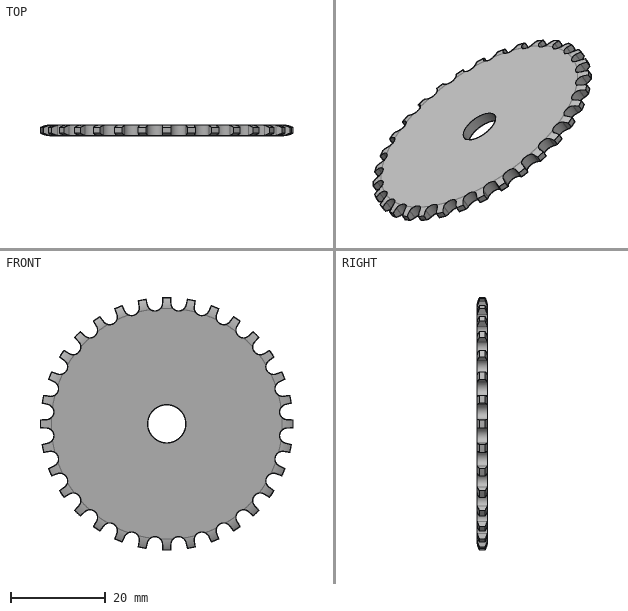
import cadquery as cq
import math

tooth_count = 32
chain_pitch = 5.0
roller_diameter = 3.2
tip_diameter = 53.2
plate_width = 2.3
bore_diameter = 8.0
gap_wall_angle = 8.0
flank_side_radius = 5.0
flank_side_depth = 2.3

tooth_angle = 360.0 / tooth_count
tip_radius = tip_diameter / 2
bore_radius = bore_diameter / 2
roller_radius = roller_diameter / 2
pitch_radius = chain_pitch / 2 / math.sin(math.radians(tooth_angle / 2))
half_width = plate_width / 2
cut_margin = 1.0


def make_blank():
    """Revolved disc with a bore and a rim rounded towards the tips on both sides."""
    shoulder_radius = tip_radius - flank_side_depth

    def side_drop(depth):
        return flank_side_radius - math.sqrt(flank_side_radius**2 - depth**2)

    middle_radius = shoulder_radius + flank_side_depth / 2
    middle_half_width = half_width - side_drop(flank_side_depth / 2)
    tip_half_width = half_width - side_drop(flank_side_depth)
    return (
        cq.Workplane("YZ")
        .moveTo(-half_width, bore_radius)
        .lineTo(-half_width, shoulder_radius)
        .threePointArc((-middle_half_width, middle_radius), (-tip_half_width, tip_radius))
        .lineTo(tip_half_width, tip_radius)
        .threePointArc((middle_half_width, middle_radius), (half_width, shoulder_radius))
        .lineTo(half_width, bore_radius)
        .close()
        .revolve(360, (0, 0, 0), (1, 0, 0))
    )


def make_gap_cutter():
    """Round roller seat that runs tangentially into two straight, outward-leaning walls."""
    wall_angle = math.radians(gap_wall_angle)
    wall_x = roller_radius * math.cos(wall_angle)
    wall_z = pitch_radius - roller_radius * math.sin(wall_angle)
    outer_z = tip_radius + cut_margin
    outer_x = wall_x + (outer_z - wall_z) * math.tan(wall_angle)
    return (
        cq.Workplane("XZ")
        .moveTo(-outer_x, outer_z)
        .lineTo(-wall_x, wall_z)
        .threePointArc((0, pitch_radius - roller_radius), (wall_x, wall_z))
        .lineTo(outer_x, outer_z)
        .close()
        .extrude(half_width + cut_margin, both=True)
    )


def cut_gaps(blank):
    """Cut one gap midway between each pair of neighbouring teeth."""
    gap = make_gap_cutter()
    for index in range(tooth_count):
        angle = (index + 0.5) * tooth_angle
        blank = blank.cut(gap.rotate((0, 0, 0), (0, 1, 0), angle))
    return blank


result = cut_gaps(make_blank())